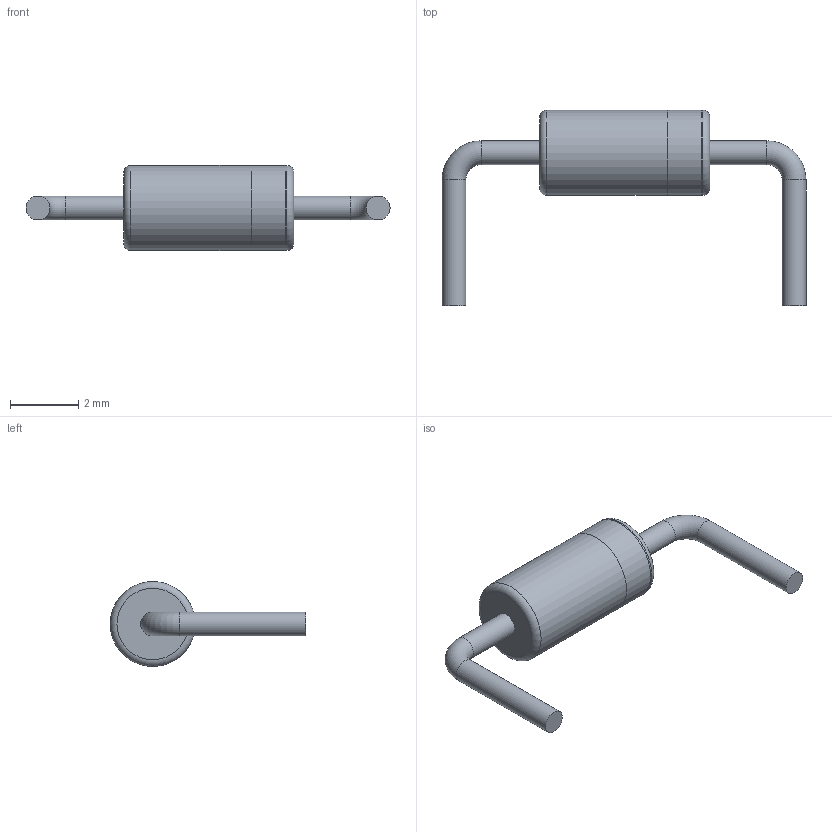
import cadquery as cq


housing_length = 5.0
housing_radius = 1.25
edge_radius = 0.2
housing_offset = 0.02
band_width = 1.0
band_end_gap = 0.05

wire_diameter = 0.7
leg_spacing = 10.0
leg_reach = 4.5
bend_radius = 0.8

housing_end = housing_length / 2
flat_end = housing_end - edge_radius
band_end = flat_end - band_end_gap
band_start = band_end - band_width
rim_radius = housing_radius - edge_radius
leg_x = leg_spacing / 2
bend_x = leg_x - bend_radius


def make_wire():
    """Round wire with both ends bent toward -Y, in one piece."""
    path = (
        cq.Workplane("XY")
        .moveTo(-leg_x, -leg_reach)
        .lineTo(-leg_x, -bend_radius)
        .radiusArc((-bend_x, 0), bend_radius)
        .lineTo(bend_x, 0)
        .radiusArc((leg_x, -bend_radius), bend_radius)
        .lineTo(leg_x, -leg_reach)
    )
    leg_end = cq.Workplane("XZ", origin=(-leg_x, -leg_reach, 0)).circle(wire_diameter / 2)
    return leg_end.sweep(path)


def make_housing():
    """Revolved cylinder with rounded edges, a flush cathode band and a bore for the wire."""
    bore_radius = wire_diameter / 2
    return (
        cq.Workplane("XY")
        .moveTo(-housing_end, bore_radius)
        .lineTo(-housing_end, rim_radius)
        .radiusArc((-flat_end, housing_radius), edge_radius)
        .lineTo(band_start, housing_radius)
        .lineTo(band_end, housing_radius)
        .lineTo(flat_end, housing_radius)
        .radiusArc((housing_end, rim_radius), edge_radius)
        .lineTo(housing_end, bore_radius)
        .close()
        .revolve(360, (0, 0, 0), (1, 0, 0), clean=False)
        .translate((housing_offset, 0, 0))
    )


wire = make_wire()
housing = make_housing()

result = cq.Compound.makeCompound([housing.val(), wire.val()])